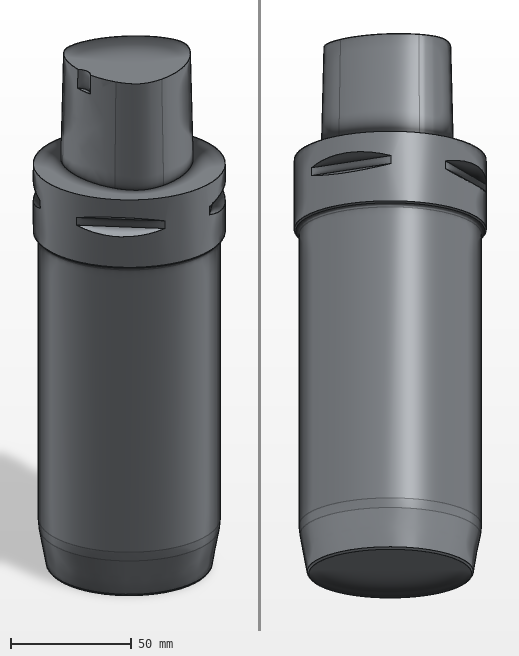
import cadquery as cq
import math

total_height = 228.0
shank_height = 47.5
flange_height = 31.0
flange_top = total_height - shank_height
flange_bottom = flange_top - flange_height

flange_radius = 80.0 / 2
flange_chamfer = 0.7
body_radius = 76.0 / 2
neck_fillet = flange_radius - flange_chamfer - body_radius

nose_blend_top = 21.2
nose_blend_bottom = 17.0
nose_blend_radius = 22.8
nose_chamfer = 0.7
nose_chamfer_height = 1.0

shank_base_radius = 27.5
shank_top_radius = 26.5
lobe_offset = 2.0
lobe_count = 3
lobe_pitch = 360 / lobe_count
lobe_half_angle = 34.0
spans_per_edge = 8

notch_radius = 5.7
notch_center_y = -28.3
notch_depth = 8.5

slot_count = 4
slot_floor_distance = 35.45
slot_floor_height = 3.5
slot_flank_angle = 30.0
slot_center_z = flange_top - 12.3


def make_body():
    """Revolve the flange, the body and its blended conical nose."""
    blend_angle = math.asin((nose_blend_top - nose_blend_bottom) / nose_blend_radius)
    blend_center_r = body_radius - nose_blend_radius
    blend_end_r = blend_center_r + nose_blend_radius * math.cos(blend_angle)
    blend_mid = (
        blend_center_r + nose_blend_radius * math.cos(blend_angle / 2),
        nose_blend_top - nose_blend_radius * math.sin(blend_angle / 2),
    )
    cone_height = nose_blend_bottom - nose_chamfer_height
    cone_end_r = blend_end_r - cone_height * math.tan(blend_angle)
    return (
        cq.Workplane("XZ")
        .lineTo(cone_end_r - nose_chamfer, 0)
        .lineTo(cone_end_r, nose_chamfer_height)
        .lineTo(blend_end_r, nose_blend_bottom)
        .threePointArc(blend_mid, (body_radius, nose_blend_top))
        .lineTo(body_radius, flange_bottom - neck_fillet)
        .tangentArcPoint((flange_radius - flange_chamfer, flange_bottom), relative=False)
        .lineTo(flange_radius, flange_bottom + flange_chamfer)
        .lineTo(flange_radius, flange_top)
        .lineTo(0, flange_top)
        .close()
        .revolve(360, (0, 0), (0, 1))
    )


def lobe_point(mean_radius, angle, z):
    """Point on the lobed curve where its outward normal is `angle` from +Y."""
    x = (
        mean_radius * math.sin(angle)
        - 2 * lobe_offset * math.sin(2 * angle)
        - lobe_offset * math.sin(4 * angle)
    )
    y = (
        mean_radius * math.cos(angle)
        + 2 * lobe_offset * math.cos(2 * angle)
        - lobe_offset * math.cos(4 * angle)
    )
    return cq.Vector(x, y, z)


def lobe_edge(mean_radius, start_degrees, end_degrees, z):
    """Smooth stretch of the lobed curve between two normal directions."""
    start = math.radians(start_degrees)
    end = math.radians(end_degrees)
    points = []
    for index in range(spans_per_edge + 1):
        angle = start + (end - start) * index / spans_per_edge
        points.append(lobe_point(mean_radius, angle, z))
    tangents = [cq.Vector(math.cos(angle), -math.sin(angle), 0) for angle in (start, end)]
    return cq.Edge.makeSpline(points, tangents=tangents)


def lobed_wire(mean_radius, z):
    """Closed curve of three rounded lobes, one pointing along +Y, and three flatter sides."""
    edges = []
    for lobe in range(lobe_count):
        lobe_direction = lobe * lobe_pitch
        lobe_start = lobe_direction - lobe_half_angle
        lobe_end = lobe_direction + lobe_half_angle
        next_lobe_start = lobe_start + lobe_pitch
        edges.append(lobe_edge(mean_radius, lobe_start, lobe_end, z))
        edges.append(lobe_edge(mean_radius, lobe_end, next_lobe_start, z))
    return cq.Wire.assembleEdges(edges)


def make_shank():
    """Tapered lobed shank with a round-backed notch on its -Y side."""
    base = lobed_wire(shank_base_radius, flange_top)
    top = lobed_wire(shank_top_radius, total_height)
    shank = cq.Workplane(cq.Solid.makeLoft([base, top], True))
    notch = (
        cq.Workplane("XY", origin=(0, notch_center_y, total_height - notch_depth))
        .circle(notch_radius)
        .extrude(notch_depth)
    )
    return shank.cut(notch)


def make_slot(angle):
    """Straight trapezoidal cutter, widening outward through the flange rim."""
    reach = flange_radius - slot_floor_distance
    floor_half = slot_floor_height / 2
    mouth_half = floor_half + reach * math.tan(math.radians(slot_flank_angle))
    return (
        cq.Workplane("XZ")
        .moveTo(slot_floor_distance, slot_center_z - floor_half)
        .lineTo(flange_radius, slot_center_z - mouth_half)
        .lineTo(flange_radius, slot_center_z + mouth_half)
        .lineTo(slot_floor_distance, slot_center_z + floor_half)
        .close()
        .extrude(flange_radius, both=True)
        .rotate((0, 0, 0), (0, 0, 1), angle)
    )


result = make_body().union(make_shank())
for slot_index in range(slot_count):
    result = result.cut(make_slot((slot_index + 0.5) * 360 / slot_count))